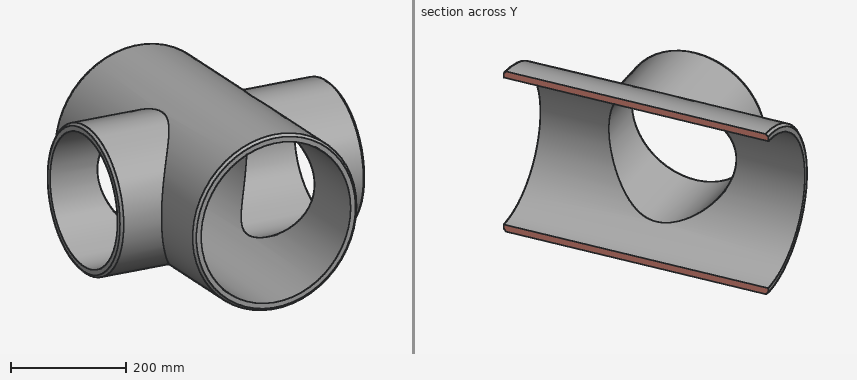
import cadquery as cq

run_length = 508.0
run_diameter = 323.85

branch_length = 482.6
branch_diameter = 273.05

wall = 14.3

bevel = wall / 3


def centred_cylinder(plane, diameter, length):
    """Cylinder centred on the origin, along the normal of the plane."""
    return cq.Workplane(plane).circle(diameter / 2).extrude(length / 2, both=True)


def bevelled_bar(plane, end_faces, diameter, length):
    """Solid bar with its outer edges bevelled at both ends."""
    bar = centred_cylinder(plane, diameter, length)
    return bar.faces(end_faces).edges().chamfer(bevel)


def pipe_bore(plane, diameter, length):
    """Through bore that leaves the wall thickness inside a pipe diameter."""
    return centred_cylinder(plane, diameter - 2 * wall, length)


run = bevelled_bar("YZ", "|X", run_diameter, run_length)
branch = bevelled_bar("XZ", "|Y", branch_diameter, branch_length)
body = run.union(branch)

run_bore = pipe_bore("YZ", run_diameter, run_length)
branch_bore = pipe_bore("XZ", branch_diameter, branch_length)

result = body.cut(run_bore).cut(branch_bore)